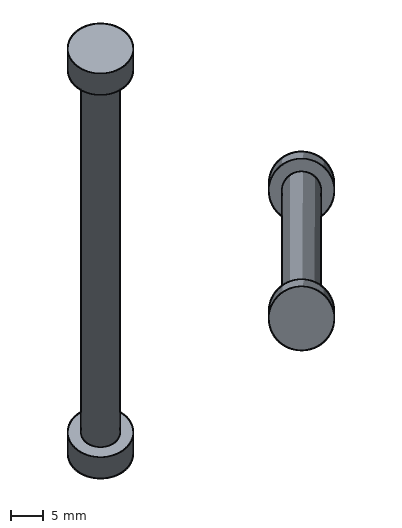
import cadquery as cq

total_length = 95.0
head_diameter = 10.0
head_height = 5.0
shaft_diameter = 6.0


def disc(diameter, height, bottom):
    """Upright cylinder on the Z axis, starting at the given height."""
    return cq.Workplane("XY").workplane(offset=bottom).circle(diameter / 2).extrude(height)


result = disc(shaft_diameter, total_length, 0)
for head_bottom in (0, total_length - head_height):
    result = result.union(disc(head_diameter, head_height, head_bottom))